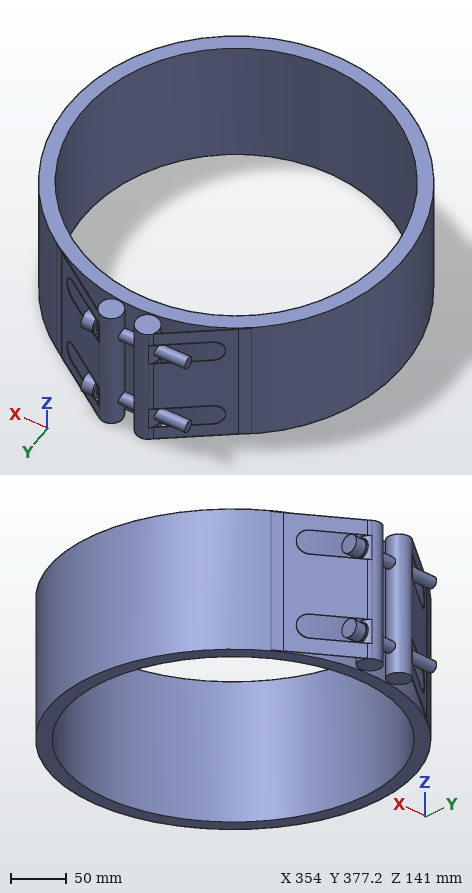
import cadquery as cq
import math

sleeve_height = 141.0
bore_diameter = 324.0

sleeve_diameter = 354.0
sleeve_radius = sleeve_diameter / 2

strap_thickness = 0.5
strap_height = 139.2

loop_diameter = 24.0
pin_x = 19.0
overall_y = 377.2
loop_radius = loop_diameter / 2
pin_radius = loop_radius - strap_thickness
pin_y = overall_y - sleeve_radius - loop_radius

lap_start = 11.5
slot_end = 23.0
slot_width = 24.0

bolt_z = 42.2
bolt_diameter = 12.0
bolt_tip_x = -61.0
washer_diameter = 20.0
washer_thickness = 2.0
head_diameter = 18.0
head_length = 12.5
washer_x = pin_x + loop_radius

pin_distance = math.hypot(pin_x, pin_y)
tangent_spread = math.acos((sleeve_radius - pin_radius) / pin_distance)
strap_angle = math.degrees(math.atan2(pin_x, pin_y) + tangent_spread)
strap_length = pin_distance * math.sin(tangent_spread)


def cylinder(radius, height):
    """Upright cylinder centred on the origin."""
    return cq.Workplane("XY").circle(radius).extrude(height / 2, both=True)


def sheet(x_start, y_inner, y_outer):
    """Upright strap layer from x_start to the tangent point on the pin."""
    length = strap_length - x_start
    width = y_outer - y_inner
    return cq.Workplane("XY").box(length, width, strap_height, centered=(False, False, True)).translate(
        (x_start, y_inner, 0)
    )


def slot_cutter(z):
    """Round-ended slot through the strap and the outer half of the pin loop."""
    depth = 2 * loop_diameter
    end_center = slot_end + slot_width / 2
    straight = strap_length - end_center
    plane = cq.Workplane("XZ")
    rounded_end = plane.center(end_center, z).circle(slot_width / 2).extrude(depth / 2, both=True)
    body = plane.center(end_center + straight / 2, z).rect(straight, slot_width).extrude(depth / 2, both=True)
    return rounded_end.union(body).translate((0, sleeve_radius - pin_radius, 0))


def make_sleeve():
    return cylinder(sleeve_radius, sleeve_height).cut(cylinder(bore_diameter / 2, sleeve_height))


def make_strap_end():
    """The -X strap: doubled strip, loop, slots and pin."""
    pin_center = (strap_length, sleeve_radius - pin_radius, 0)
    pin = cylinder(pin_radius, strap_height).translate(pin_center)
    loop = cylinder(loop_radius, strap_height).translate(pin_center).cut(pin)
    base = sheet(0, sleeve_radius - strap_thickness, sleeve_radius)
    lap = sheet(lap_start, sleeve_radius, sleeve_radius + strap_thickness)
    strap = base.union(lap).union(loop)
    for z in (-bolt_z, bolt_z):
        strap = strap.cut(slot_cutter(z))
    return strap.union(pin).rotate((0, 0, 0), (0, 0, 1), strap_angle)


def make_bolt(z):
    def rod(diameter, x_start, length):
        return cq.Workplane("YZ", origin=(x_start, pin_y, z)).circle(diameter / 2).extrude(length)

    shank = rod(bolt_diameter, bolt_tip_x, washer_x - bolt_tip_x)
    washer = rod(washer_diameter, washer_x, washer_thickness)
    head = rod(head_diameter, washer_x + washer_thickness, head_length)
    return shank.union(washer).union(head)


strap_end = make_strap_end()
result = make_sleeve().union(strap_end).union(strap_end.mirror("YZ"))
for bolt_height in (-bolt_z, bolt_z):
    result = result.union(make_bolt(bolt_height))